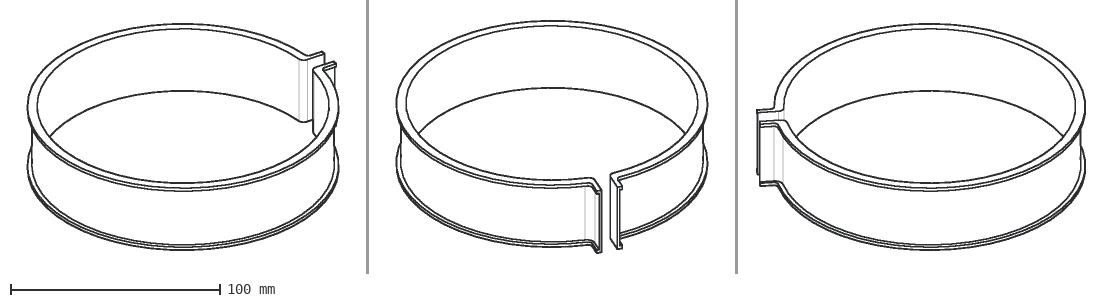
import cadquery as cq
import math

rim_diameter = 148.7
overall_length = 156.7
rim_radius = rim_diameter / 2
tab_end_y = overall_length - rim_radius
band_height = 35.0

bore_radius = 69.7
web_radius = 72.2
rim_height = 1.7

tab_gap = 8.0
half_gap = tab_gap / 2
rim_tab_thickness = 2.5
web_tab_thickness = 1.3

bore_bend_radius = 3.0
rim_bend_radius = 2.0
web_bend_radius = 3.9


def y_on_circle(radius, x):
    return math.sqrt(radius**2 - x**2)


def round_edge(body, x, radius, bend_radius):
    """Round the upright edges where the tab faces at +/-x meet a circle."""
    y = y_on_circle(radius, x)
    for side_x in (-x, x):
        edge = cq.selectors.NearestToPointSelector((side_x, y, band_height / 2))
        body = body.edges("|Z").edges(edge).fillet(bend_radius)
    return body


def center_block(half_width):
    """Block from the ring axis to the tab ends, centered on the split."""
    return (
        cq.Workplane("XY")
        .center(0, tab_end_y / 2)
        .rect(2 * half_width, tab_end_y)
        .extrude(band_height)
    )


def split_ring(outer_radius, tab_thickness, outer_bend_radius):
    """Full-height split ring with two parallel tabs and rounded bends."""
    tab_face_x = half_gap + tab_thickness
    body = cq.Workplane("XY").circle(outer_radius).extrude(band_height)
    tabs = center_block(tab_face_x)
    gap = center_block(half_gap)
    bore = cq.Workplane("XY").circle(bore_radius).extrude(band_height)
    body = body.union(tabs).cut(gap).cut(bore)
    body = round_edge(body, tab_face_x, outer_radius, outer_bend_radius)
    return round_edge(body, half_gap, bore_radius, bore_bend_radius)


web = split_ring(web_radius, web_tab_thickness, web_bend_radius)
rim_ring = split_ring(rim_radius, rim_tab_thickness, rim_bend_radius)

between_rims = (
    cq.Workplane("XY")
    .workplane(offset=rim_height)
    .rect(4 * rim_radius, 4 * rim_radius)
    .extrude(band_height - 2 * rim_height)
)
result = web.union(rim_ring.cut(between_rims))